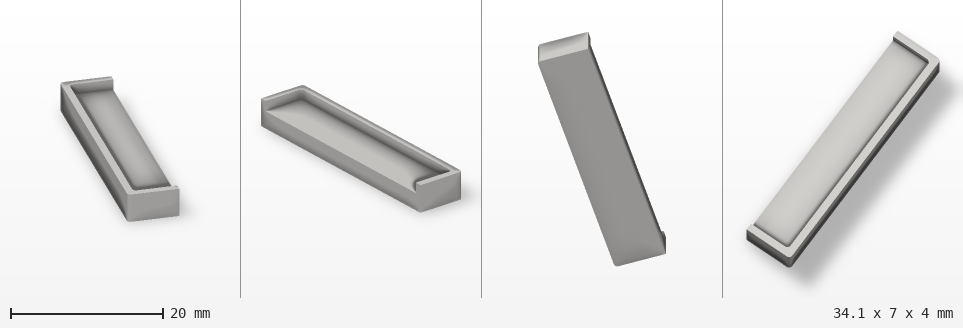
import cadquery as cq

length = 34.1
width = 7.0
height = 4.0
wall = 1.0
pocket_depth = 1.5
outer_corner_radius = 0.5
inner_corner_radius = 0.5

pocket_length = length - 2 * wall
pocket_width = width - wall


def rounded_front_block(block_length, block_width, block_height, corner_radius):
    """Block centred on X, running from Y = 0 to +Y, with its two front vertical edges rounded."""
    block = cq.Workplane("XY").box(block_length, block_width, block_height, centered=(True, False, False))
    return block.faces("<Y").edges("|Z").fillet(corner_radius)


body = rounded_front_block(length, width, height, outer_corner_radius)

pocket = rounded_front_block(pocket_length, pocket_width, pocket_depth, inner_corner_radius)
pocket = pocket.translate((0, wall, height - pocket_depth))

result = body.cut(pocket)